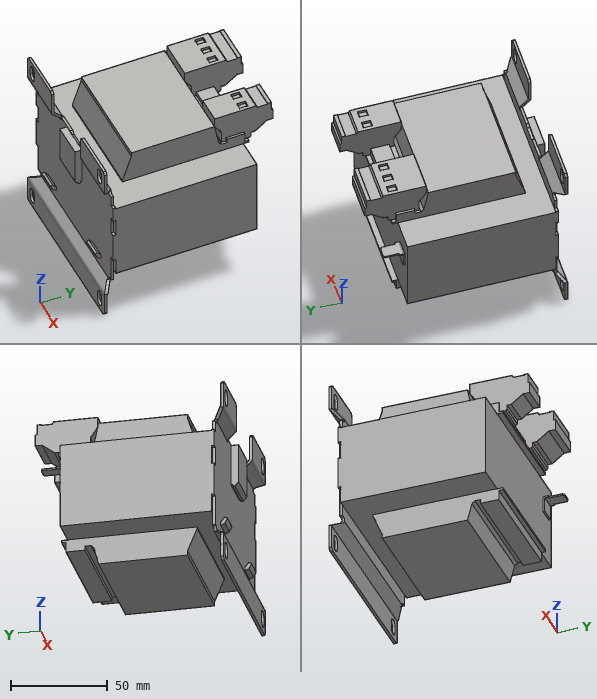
import cadquery as cq
import math


CORE_WIDTH = 96.0
CORE_DEPTH = 80.1
CORE_HEIGHT = 46.3
CORE_TOP = CORE_HEIGHT / 2

PLATE_HEIGHT = 102.04
SHEET = 1.5
FOOT_OFFSET = 5.0
BEND_Z = 30.95
BEND_RADIUS = 1.5
PLATE_HALF_WIDTH = 45.4
NECK_HALF_WIDTH = 42.1
NECK_SHOULDER_Z = 29.6
NECK_TOP_Z = 32.0
NECK_ROUND = 1.1
FOOT_CHAMFER = 1.5
FOOT_GAP_HALF = 18.0
SLOT_WIDTH = 5.0
SLOT_LENGTH = 9.0
SLOT_X = 41.9
SLOT_Z = 43.65
SIDE_TABS = [(14.4, 23.6), (-13.5, 4.35)]
TONGUE_HALF_WIDTH = 16.95
TONGUE_TOP = 32.7
RELIEF_Z = 30.8
TONGUE_NOTCH_HALF = 5.6
TONGUE_NOTCH_DEPTH = 1.6

CLIP_WIDTH = 18.9
HOOK_WIDTH = 10.5
HOOK_X = 27.8

FORMER_WIDTH = 62.3
FORMER_TOP = 41.9
FORMER_BOTTOM = 38.7
FORMER_SKIRT = 0.9
FORMER_OVERLAP = 1.0
FORMER_FRONT_EDGE = 2.4

POLE_PITCH = 7.45
BLOCK_OUTER_X = 29.85
SCREW_HOLE_WIDTH = 3.6
SCREW_HOLE_LENGTH = 4.7
SCREW_HOLE_DEPTH = 1.5
SCREW_HOLE_Y = 81.8
BLOCK_TOP = 46.0

EARTH_X = -39.75
EARTH_SHEET = 1.0
EARTH_BEND_RADIUS = 0.9
EARTH_TOP = 13.1
EARTH_BOTTOM = 3.9
EARTH_WIDTH = 8.4
EARTH_SHOULDER_LENGTH = 3.1
BLADE_WIDTH = 6.5
BLADE_LENGTH = 11.3
BLADE_CHAMFER = 0.8


def box(x_range, y_range, z_range):
    """Box between the given limits."""
    sizes = [high - low for low, high in (x_range, y_range, z_range)]
    corner = (x_range[0], y_range[0], z_range[0])
    return cq.Workplane("XY").box(*sizes, centered=False).translate(corner)


def side_prism(points, x_start, width):
    """Extrude a (Y, Z) outline along +X."""
    return cq.Workplane("YZ").workplane(offset=x_start).polyline(points).close().extrude(width)


def with_mirror(solid, plane):
    """Join a solid with its mirror image."""
    return solid.union(solid.mirror(plane))


def make_core():
    half = CORE_WIDTH / 2
    return box((-half, half), (0, CORE_DEPTH), (-CORE_TOP, CORE_TOP))


def make_bent_sheet():
    """Flat sheet with 45 degree offsets to the feet at both ends."""
    inner_shift = SHEET * math.tan(math.radians(22.5))
    foot_z = BEND_Z + FOOT_OFFSET
    foot_front = -FOOT_OFFSET - SHEET
    upper = [
        (0, 0),
        (0, BEND_Z + inner_shift),
        (-FOOT_OFFSET, foot_z + inner_shift),
        (-FOOT_OFFSET, PLATE_HEIGHT / 2),
        (foot_front, PLATE_HEIGHT / 2),
        (foot_front, foot_z),
        (-SHEET, BEND_Z),
        (-SHEET, 0),
    ]
    sheet = side_prism(upper, -CORE_WIDTH / 2, CORE_WIDTH)
    bend_edge = cq.selectors.NearestToPointSelector((0, foot_front, foot_z))
    return with_mirror(sheet.edges(bend_edge).fillet(BEND_RADIUS), "XY")


def make_plate_outline():
    """Front outline of the plate, deep enough to trim the bent sheet."""
    half = CORE_WIDTH / 2
    top = PLATE_HEIGHT / 2
    foot_z = BEND_Z + FOOT_OFFSET
    arc_mid = NECK_ROUND * (1 - math.cos(math.pi / 4))
    quarter = (
        cq.Workplane("XZ", origin=(0, CORE_DEPTH / 2, 0))
        .lineTo(PLATE_HALF_WIDTH, 0)
        .lineTo(PLATE_HALF_WIDTH, NECK_SHOULDER_Z)
        .lineTo(NECK_HALF_WIDTH + NECK_ROUND, NECK_SHOULDER_Z)
        .threePointArc(
            (NECK_HALF_WIDTH + arc_mid, NECK_SHOULDER_Z + arc_mid),
            (NECK_HALF_WIDTH, NECK_SHOULDER_Z + NECK_ROUND),
        )
        .lineTo(NECK_HALF_WIDTH, NECK_TOP_Z)
        .lineTo(half, foot_z)
        .lineTo(half, top - FOOT_CHAMFER)
        .lineTo(half - FOOT_CHAMFER, top)
        .lineTo(0, top)
        .close()
        .extrude(CORE_DEPTH)
    )
    return with_mirror(with_mirror(quarter, "XY"), "YZ")


def make_foot_gap():
    """Opening between the upper feet, flared by their corner chamfers."""
    top = PLATE_HEIGHT / 2
    flare = FOOT_GAP_HALF + FOOT_CHAMFER
    points = [
        (-FOOT_GAP_HALF, RELIEF_Z),
        (FOOT_GAP_HALF, RELIEF_Z),
        (FOOT_GAP_HALF, top - FOOT_CHAMFER),
        (flare, top),
        (-flare, top),
        (-FOOT_GAP_HALF, top - FOOT_CHAMFER),
    ]
    gap = cq.Workplane("XZ", origin=(0, CORE_DEPTH / 2, 0)).polyline(points).close()
    return gap.extrude(CORE_DEPTH)


def make_tongue():
    """Flat tongue between the upper feet, with a tapered notch in its top."""
    notch_floor = TONGUE_NOTCH_HALF - TONGUE_NOTCH_DEPTH
    points = [
        (-TONGUE_HALF_WIDTH, 0),
        (TONGUE_HALF_WIDTH, 0),
        (TONGUE_HALF_WIDTH, TONGUE_TOP),
        (TONGUE_NOTCH_HALF, TONGUE_TOP),
        (notch_floor, TONGUE_TOP - TONGUE_NOTCH_DEPTH),
        (-notch_floor, TONGUE_TOP - TONGUE_NOTCH_DEPTH),
        (-TONGUE_NOTCH_HALF, TONGUE_TOP),
        (-TONGUE_HALF_WIDTH, TONGUE_TOP),
    ]
    return cq.Workplane("XZ").polyline(points).close().extrude(SHEET)


def make_plate():
    plate = make_bent_sheet().intersect(make_plate_outline())
    plate = plate.cut(make_foot_gap()).union(make_tongue())
    for z_range in SIDE_TABS:
        plate = plate.union(box((-CORE_WIDTH / 2, CORE_WIDTH / 2), (-SHEET, 0), z_range))
    slots = (
        cq.Workplane("XZ")
        .rect(2 * SLOT_X, 2 * SLOT_Z, forConstruction=True)
        .vertices()
        .slot2D(SLOT_LENGTH, SLOT_WIDTH, 90)
        .extrude(2 * FOOT_OFFSET)
    )
    return plate.cut(slots)


def make_clip():
    """Block on the plate front with a bevelled lower edge."""
    points = [
        (-SHEET, 32.3),
        (-5.6, 32.3),
        (-5.6, 11.1),
        (-3.6, 8.9),
        (-2.4, 8.9),
        (-2.4, 9.9),
        (-SHEET, 9.9),
    ]
    return side_prism(points, -CLIP_WIDTH / 2, CLIP_WIDTH)


def make_hook(x_center):
    """Short lug bent forward and up out of the plate."""
    points = [
        (-SHEET, -22.6),
        (-3.7, -19.9),
        (-5.1, -20.8),
        (-3.7, -23.5),
        (-SHEET, -24.5),
    ]
    return side_prism(points, x_center - HOOK_WIDTH / 2, HOOK_WIDTH)


def make_former_half(roof_z):
    """Upper half of the coil former, with its roof at the given height."""
    points = [
        (11.4, 0),
        (11.4, CORE_TOP + FORMER_SKIRT),
        (16.5, roof_z - FORMER_FRONT_EDGE),
        (16.5, roof_z),
        (63.7, roof_z),
        (66.2, 29.2),
        (67.8, 27.7),
        (70.9, 27.7),
        (70.9, 30.0),
        (81.0, 30.0),
        (81.0, 24.4),
        (83.3, 24.4),
        (83.3, CORE_TOP),
        (CORE_DEPTH - FORMER_OVERLAP, CORE_TOP),
        (CORE_DEPTH - FORMER_OVERLAP, 0),
    ]
    return side_prism(points, -FORMER_WIDTH / 2, FORMER_WIDTH)


def make_former():
    lower = make_former_half(FORMER_BOTTOM).mirror("XY")
    return make_former_half(FORMER_TOP).union(lower)


def make_terminal_block(x_start, poles):
    """Terminal block with one square screw hole per pole."""
    points = [
        (64.4, BLOCK_TOP),
        (64.4, 40.4),
        (68.3, 34.6),
        (68.3, 27.0),
        (80.0, 27.0),
        (80.0, 25.0),
        (84.2, 25.0),
        (85.1, 25.9),
        (85.1, 28.2),
        (87.4, 28.2),
        (94.0, 33.2),
        (97.6, 33.2),
        (97.6, 39.3),
        (96.6, 39.8),
        (96.6, 45.1),
        (94.5, 45.1),
        (94.5, 44.7),
        (88.7, 44.7),
        (87.8, BLOCK_TOP),
    ]
    block = side_prism(points, x_start, poles * POLE_PITCH)
    for pole in range(poles):
        x_center = x_start + (pole + 0.5) * POLE_PITCH
        hole = cq.Workplane("XY").box(SCREW_HOLE_WIDTH, SCREW_HOLE_LENGTH, 2 * SCREW_HOLE_DEPTH)
        block = block.cut(hole.translate((x_center, SCREW_HOLE_Y, BLOCK_TOP)))
    return block


def make_earth_tab():
    """L-shaped tab on the back of the core, ending in a narrower blade."""
    back = CORE_DEPTH
    half = EARTH_WIDTH / 2
    x_range = (EARTH_X - half, EARTH_X + half)
    leg = box(x_range, (back, back + EARTH_SHEET), (EARTH_BOTTOM, EARTH_TOP))
    shelf_z = (EARTH_TOP - EARTH_SHEET, EARTH_TOP)
    shelf = box(x_range, (back, back + EARTH_SHOULDER_LENGTH), shelf_z)
    bend_edge = cq.selectors.NearestToPointSelector((EARTH_X, back, EARTH_TOP))
    bracket = leg.union(shelf).edges(bend_edge).fillet(EARTH_BEND_RADIUS)
    blade_x = (EARTH_X - BLADE_WIDTH / 2, EARTH_X + BLADE_WIDTH / 2)
    blade = box(blade_x, (back + EARTH_SHEET, back + BLADE_LENGTH), shelf_z)
    blade = blade.edges("|Z and >Y").chamfer(BLADE_CHAMFER)
    return bracket.union(blade)


result = make_core().union(make_plate()).union(make_clip())
for hook_x in (-HOOK_X, HOOK_X):
    result = result.union(make_hook(hook_x))
result = result.union(make_former())
result = result.union(make_terminal_block(-BLOCK_OUTER_X, 3))
result = result.union(make_terminal_block(BLOCK_OUTER_X - 2 * POLE_PITCH, 2))
result = result.union(make_earth_tab())